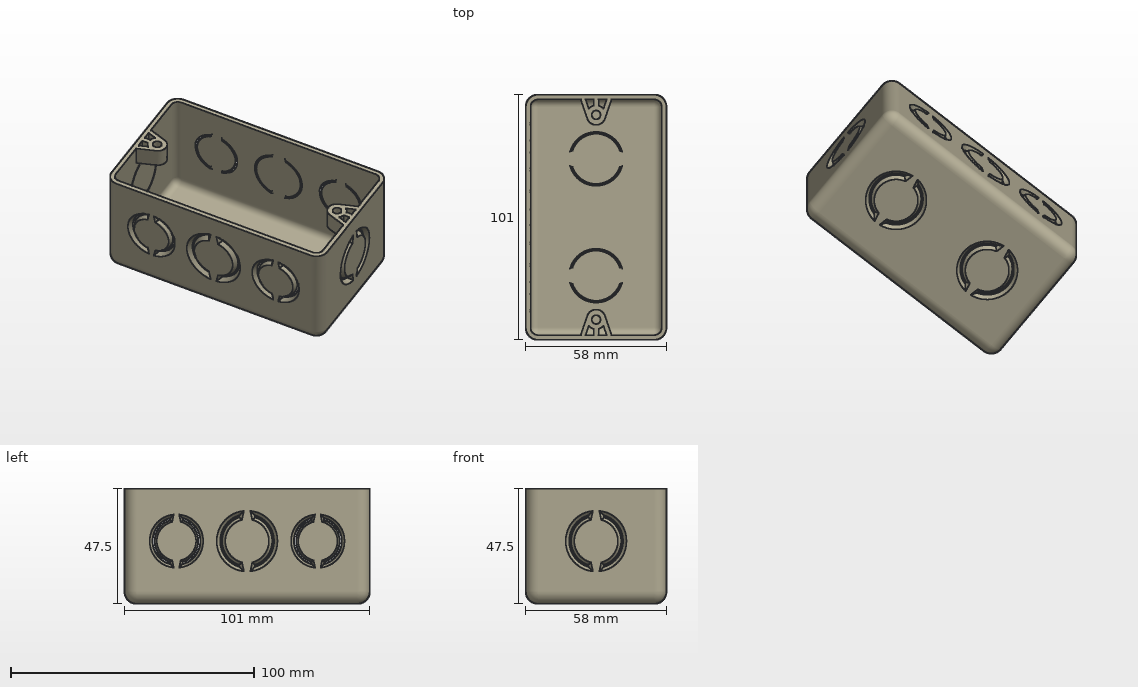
import cadquery as cq
import math

LENGTH = 101.0
WIDTH = 58.0
HEIGHT = 47.5
WALL = 2.0
OUTER_RADIUS = 5.0
INNER_RADIUS = OUTER_RADIUS - WALL

LARGE_OUTSIDE_RADII = (9.0, 12.5)
LARGE_INSIDE_RADII = (10.4, 11.0)
SMALL_OUTSIDE_RADII = (8.1, 11.0)
SMALL_INSIDE_RADII = (9.0, 9.8)
LARGE_WEB_HALF = 1.3
SMALL_WEB_HALF = 1.1
WEB_FLARE = 12.0
LARGE_WEB_GROWTH = 1.5
SMALL_WEB_GROWTH = 1.1
KNOCKOUT_HEIGHT = 25.9
SIDE_SPACING = 29.1
FLOOR_OFFSET = 24.0

TAB_HEIGHT = 8.1
TAB_HOLE_RADIUS = 1.8
TAB_TIP_RADIUS = 3.8
TAB_POCKET_GAP = 3.9
TAB_BASE_HALF = 6.4
TAB_WEB = 1.9
TAB_RIB = 2.1
TAB_HOLE_Y = LENGTH / 2 - 8.4
TAB_TIP_Y = LENGTH / 2 - 8.7

INNER_WALL_Y = LENGTH / 2 - WALL
TAB_BOTTOM = HEIGHT - TAB_HEIGHT


def make_box():
    outer = (
        cq.Workplane("XY")
        .box(WIDTH, LENGTH, HEIGHT, centered=(True, True, False))
        .edges("|Z").fillet(OUTER_RADIUS)
        .faces("<Z").edges().fillet(OUTER_RADIUS)
    )
    cavity = (
        cq.Workplane("XY", origin=(0, 0, WALL))
        .box(WIDTH - 2 * WALL, LENGTH - 2 * WALL, HEIGHT, centered=(True, True, False))
        .edges("|Z").fillet(INNER_RADIUS)
        .faces("<Z").edges().fillet(INNER_RADIUS)
    )
    return outer.cut(cavity)


def slot_wire(radii, web_x, web_y, depth):
    """Arc slot on the +X side; its straight ends flare away from (web_x, web_y)."""
    flare = math.radians(WEB_FLARE)
    reach = web_x * math.cos(flare) + web_y * math.sin(flare)

    def end_point(radius):
        angle = flare + math.acos(reach / radius)
        return radius * math.cos(angle), radius * math.sin(angle)

    inner_x, inner_y = end_point(radii[0])
    outer_x, outer_y = end_point(radii[1])
    outline = (
        cq.Workplane("XY", origin=(0, 0, -depth))
        .moveTo(inner_x, inner_y)
        .lineTo(outer_x, outer_y)
        .threePointArc((radii[1], 0), (outer_x, -outer_y))
        .lineTo(inner_x, -inner_y)
        .threePointArc((radii[0], 0), (inner_x, inner_y))
    )
    return outline.wire().val()


def make_slots(outside_radii, inside_radii, web_half, web_growth):
    """Both slots of a knockout, from the outer face at z = 0 down through the wall."""
    rim_y = math.sqrt(outside_radii[1] ** 2 - web_half ** 2)
    outside = slot_wire(outside_radii, web_half, rim_y, 0)
    inside = slot_wire(inside_radii, web_half + web_growth, rim_y, WALL)
    slot = cq.Solid.makeLoft([outside, inside], True)
    return slot, slot.rotate(cq.Vector(0, 0, 0), cq.Vector(0, 0, 1), 180)


def cut_knockouts(body):
    large = make_slots(LARGE_OUTSIDE_RADII, LARGE_INSIDE_RADII, LARGE_WEB_HALF, LARGE_WEB_GROWTH)
    small = make_slots(SMALL_OUTSIDE_RADII, SMALL_INSIDE_RADII, SMALL_WEB_HALF, SMALL_WEB_GROWTH)

    places = []
    for side in (-1, 1):
        end_centre = (0, side * LENGTH / 2, KNOCKOUT_HEIGHT)
        places.append((large, end_centre, (1, 0, 0), (0, side, 0)))

        floor_centre = (0, side * FLOOR_OFFSET, 0)
        places.append((large, floor_centre, (0, 1, 0), (0, 0, -1)))

        for step, slots in ((-1, small), (0, large), (1, small)):
            side_centre = (side * WIDTH / 2, step * SIDE_SPACING, KNOCKOUT_HEIGHT)
            places.append((slots, side_centre, (0, 1, 0), (side, 0, 0)))

    for slots, centre, axis, normal in places:
        location = cq.Location(cq.Plane(centre, axis, normal))
        for slot in slots:
            body = body.cut(cq.Workplane(slot.moved(location)))
    return body


def tangent_angle(base_half, tip_radius):
    """Angle from +X of the normal to the tab's sloping side, which touches the round tip."""
    base_y = INNER_WALL_Y - TAB_TIP_Y
    return math.atan2(base_y, base_half) - math.acos(tip_radius / math.hypot(base_half, base_y))


def tapered_prism(base_half, tip_radius):
    """Prism narrowing from the wall to a round tip."""
    tangent = tangent_angle(base_half, tip_radius)
    tip_x = tip_radius * math.cos(tangent)
    tip_y = TAB_TIP_Y + tip_radius * math.sin(tangent)
    return (
        cq.Workplane("XY", origin=(0, 0, TAB_BOTTOM))
        .moveTo(base_half, INNER_WALL_Y)
        .lineTo(tip_x, tip_y)
        .threePointArc((0, TAB_TIP_Y - tip_radius), (-tip_x, tip_y))
        .lineTo(-base_half, INNER_WALL_Y)
        .close()
        .extrude(TAB_HEIGHT)
    )


def make_tab():
    """Screw tab on the +Y wall, with a screw hole and two through pockets."""
    hole_plane = cq.Workplane("XY", origin=(0, TAB_HOLE_Y, TAB_BOTTOM))
    hole = hole_plane.circle(TAB_HOLE_RADIUS).extrude(TAB_HEIGHT)
    hole_collar = hole_plane.circle(TAB_POCKET_GAP).extrude(TAB_HEIGHT)
    rib = hole_plane.rect(TAB_RIB, LENGTH).extrude(TAB_HEIGHT)

    slope = tangent_angle(TAB_BASE_HALF, TAB_TIP_RADIUS)
    pocket_base_half = TAB_BASE_HALF - TAB_WEB / math.cos(slope)
    pockets = tapered_prism(pocket_base_half, TAB_TIP_RADIUS - TAB_WEB).cut(hole_collar).cut(rib)
    return tapered_prism(TAB_BASE_HALF, TAB_TIP_RADIUS).cut(pockets).cut(hole)


tab = make_tab()
box = make_box().union(tab).union(tab.mirror("XZ"))
result = cut_knockouts(box)